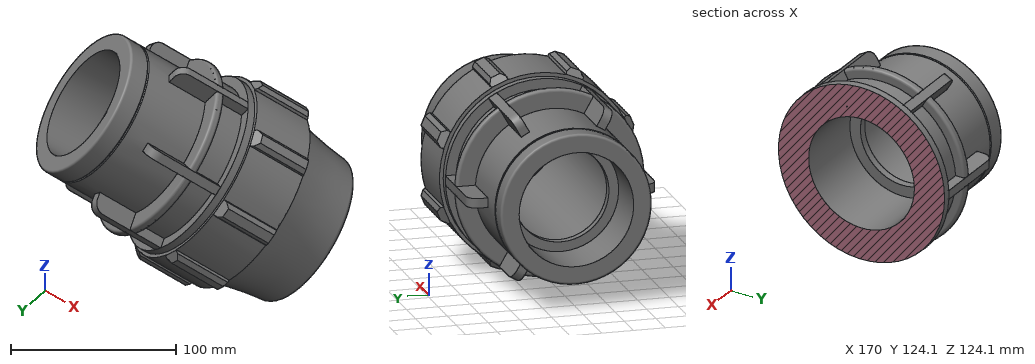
import cadquery as cq
import math

total_length = 170.0

body_radius = 95.04 / 2
body_end_fillet = 1.5
mark_groove_start = 12.3
mark_groove_width = 1.3
mark_groove_depth = 0.6
neck_radius = 52.9

flange_radius = 118.8 / 2
ring_start = 56.5
ring_width = 5.5
ring_fillet = 1.75
flange_start = 80.3
flange_width = 5.0
fin_count = 6
fin_thickness = 6.0
fin_start = 29.0
fin_corner_radius = 7.0

nut_start = flange_start + flange_width
nut_radius = 61.7
nut_shoulder = 125.9
nut_end = 127.6
grip_count = 8
grip_radius = 65.9
grip_width = 11.4
grip_chamfer = 2.6

collar_start_radius = 56.6
collar_end_radius = 49.4
collar_sag = 0.9
collar_fillet = 3.0

socket_bore_radius = 72.23 / 2
socket_bore_depth = 32.9
throat_radius = 60.0 / 2
throat_length = 5.0
pipe_bore_radius = 75.0 / 2


def cylinder(radius, start, length):
    """Cylinder on the X axis."""
    return cq.Workplane("YZ", origin=(start, 0, 0)).circle(radius).extrude(length)


def make_body():
    """Socket body with its marking groove, thicker neck, stiffening ring and flange."""
    body = cylinder(body_radius, 0, nut_start).faces("<X").edges().fillet(body_end_fillet)
    groove = (
        cq.Workplane("XY")
        .moveTo(mark_groove_start, body_radius)
        .lineTo(mark_groove_start + mark_groove_width / 2, body_radius - mark_groove_depth)
        .lineTo(mark_groove_start + mark_groove_width, body_radius)
        .close()
        .revolve(360, (0, 0, 0), (1, 0, 0))
    )
    ring = cylinder(flange_radius, ring_start, ring_width).edges().fillet(ring_fillet)
    neck = cylinder(neck_radius, ring_start + ring_width / 2, nut_start - ring_start - ring_width / 2)
    flange = cylinder(flange_radius, flange_start, flange_width)
    return body.cut(groove).union(neck).union(ring).union(flange)


def make_fins():
    """Radial fins running into the flange, rounded at their free outer corner."""
    inner_radius = (socket_bore_radius + body_radius) / 2
    blank = (
        cq.Workplane("XY")
        .box(flange_start - fin_start, flange_radius, fin_thickness, centered=(False, False, True))
        .translate((fin_start, 0, 0))
        .edges("<X and >Y")
        .fillet(fin_corner_radius)
    )
    blank = blank.cut(cylinder(inner_radius, 0, total_length))
    fins = cq.Workplane("XY")
    for index in range(fin_count):
        fins = fins.add(blank.rotate((0, 0, 0), (1, 0, 0), index * 360 / fin_count))
    return fins.combine()


def make_nut():
    """Nut barrel and grip ribs, with one conical bevel across all their rear ends."""
    grip_height = grip_radius - nut_radius
    grip = (
        cq.Workplane("XY")
        .moveTo(nut_start, pipe_bore_radius)
        .lineTo(nut_start, nut_radius)
        .lineTo(nut_start + grip_height, grip_radius)
        .lineTo(nut_end, grip_radius)
        .lineTo(nut_end, pipe_bore_radius)
        .close()
        .extrude(grip_width / 2, both=True)
        .edges("|X and >Y")
        .chamfer(grip_chamfer)
    )
    nut = cylinder(nut_radius, nut_start, nut_end - nut_start)
    for index in range(grip_count):
        nut = nut.union(grip.rotate((0, 0, 0), (1, 0, 0), (index + 0.5) * 360 / grip_count))

    bevel_slope = (nut_end - nut_shoulder) / (nut_radius - collar_start_radius)
    envelope_radius = grip_radius + grip_height
    envelope_end = nut_shoulder - bevel_slope * (envelope_radius - nut_radius)
    bevelled_envelope = (
        cq.Workplane("XY")
        .moveTo(nut_start, 0)
        .lineTo(nut_start, envelope_radius)
        .lineTo(envelope_end, envelope_radius)
        .lineTo(nut_end, collar_start_radius)
        .lineTo(nut_end, 0)
        .close()
        .revolve(360, (0, 0, 0), (1, 0, 0))
    )
    return nut.intersect(bevelled_envelope)


def make_collar():
    """Slightly concave taper with a rounded end."""
    taper_end = total_length - collar_fillet
    middle = ((nut_end + taper_end) / 2, (collar_start_radius + collar_end_radius) / 2 - collar_sag)
    diagonal = collar_fillet * math.sqrt(0.5)
    fillet_middle = (taper_end + diagonal, collar_end_radius - collar_fillet + diagonal)
    return (
        cq.Workplane("XY")
        .moveTo(nut_end, 0)
        .lineTo(nut_end, collar_start_radius)
        .threePointArc(middle, (taper_end, collar_end_radius))
        .threePointArc(fillet_middle, (total_length, collar_end_radius - collar_fillet))
        .lineTo(total_length, 0)
        .close()
        .revolve(360, (0, 0, 0), (1, 0, 0))
    )


def make_bores():
    throat_end = socket_bore_depth + throat_length
    socket_bore = cylinder(socket_bore_radius, 0, socket_bore_depth)
    throat = cylinder(throat_radius, 0, total_length)
    pipe_bore = cylinder(pipe_bore_radius, throat_end, total_length - throat_end)
    return socket_bore.union(throat).union(pipe_bore)


result = make_body().union(make_fins()).union(make_nut()).union(make_collar()).cut(make_bores())